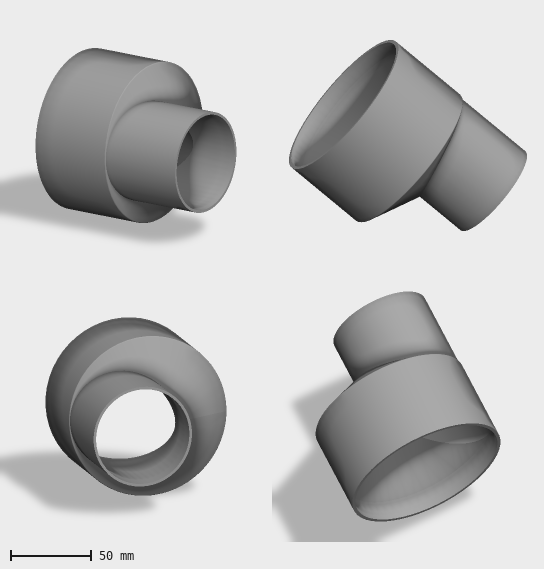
import cadquery as cq
import math

overall_length = 107.95
large_outer_diameter = 101.6
large_bore_diameter = 97.38
small_outer_diameter = 63.5
small_bore_diameter = 60.2

shoulder_angle = 60.7
shoulder_edge_radius = 1.0

straight_bore_depth = 11.25
taper_angle = 30.0
taper_edge_radius = 6.35

large_tube_length = overall_length / 2
large_radius = large_outer_diameter / 2
large_bore_radius = large_bore_diameter / 2
small_bore_radius = small_bore_diameter / 2

small_tube_y = small_bore_radius - large_bore_radius


def capped_cylinder(radius, length, cone_angle, edge_radius):
    """Cylinder from X = 0 closed by a coaxial cone, with a rounded edge where they meet."""
    tip = length + radius / math.tan(math.radians(cone_angle))
    profile = cq.Workplane("XY").polyline([(0, 0), (0, radius), (length, radius), (tip, 0)]).close()
    body = profile.revolve(360, (0, 0, 0), (1, 0, 0))
    end_circles = body.edges("%CIRCLE")
    return end_circles.edges(">X").fillet(edge_radius)


def small_cylinder(diameter, start):
    """Offset cylinder from X = start to the small end."""
    plane = cq.Workplane("YZ", origin=(start, small_tube_y, 0))
    return plane.circle(diameter / 2).extrude(overall_length - start)


def make_outside():
    """Large body with its conical shoulder, joined to the offset small tube."""
    large_body = capped_cylinder(large_radius, large_tube_length, shoulder_angle, shoulder_edge_radius)
    return large_body.union(small_cylinder(small_outer_diameter, large_tube_length))


def cut_bores(body):
    """Cut the tapering large bore and the straight small bore that runs through it."""
    tapered_bore = capped_cylinder(large_bore_radius, straight_bore_depth, taper_angle, taper_edge_radius)
    return body.cut(tapered_bore).cut(small_cylinder(small_bore_diameter, 0))


result = cut_bores(make_outside())